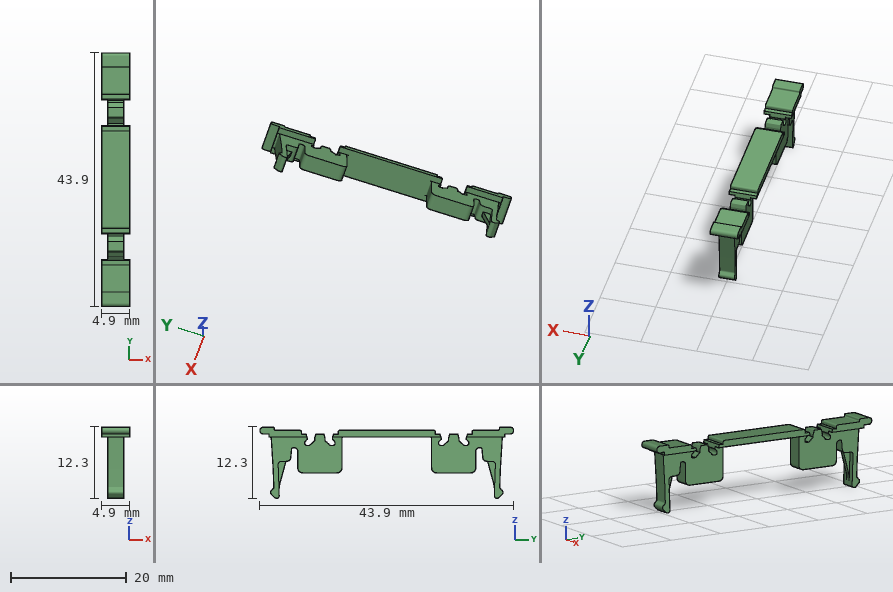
import cadquery as cq
import math


LENGTH = 43.9
HEIGHT = 12.31
PLATE_WIDTH = 4.9
BODY_WIDTH = 2.8
RIB_WIDTH = 0.8

PLATE_THICKNESS = 1.19
PLATE_TOP = 0.53
LEDGE = 1.19
UNDERSIDE = PLATE_TOP + PLATE_THICKNESS
ROOT_RADIUS = 0.25
ROOT_REACH = 0.3
EDGE_RADIUS = 0.3

END_Y = LENGTH / 2
END_RADIUS = LEDGE / 2
STEP_Y = 19.45
STEP_RADIUS = 0.2
OVERHANG_Y = 20.4

BLOCK_Y = 11.57
BLOCK_HALF = 3.84
BLOCK_BOTTOM = 7.93
BLOCK_RADIUS = 0.9

PLATE_GAP_HALF = 3.17
LIP_HALF = 2.37
LIP_TIP_HALF = 2.15
FLARE_DEPTH = 1.9
LIP_TIP_DEPTH = 2.1
NOTCH_FLOOR_HALF = 1.82
NOTCH_DEPTH = 3.17
NOTCH_HALF = 2.6
NOTCH_RADIUS = 0.38
TOOTH_TOP_HALF = 0.7
TOOTH_FOOT_HALF = 0.92
TOOTH_FOOT_DEPTH = 2.36
TOOTH_RADIUS = 0.1

SLOT_TOP = 3.57
SLOT_TOP_Y = 16.42
SLOT_BLOCK_RADIUS = 0.6
SLOT_LEG_RADIUS = 0.3

SHOULDER_Y = 16.63
SHOULDER_DEPTH = 5.82
SHOULDER_RADIUS = 0.7
SHELF_DEPTH = 5.95
SHELF_RADIUS = 0.5

LEG_INNER_TOP_Y = 18.8
LEG_INNER_FOOT_Y = 18.57
LEG_OUTER_TOP_Y = 20.0
LEG_BEND_Y = 19.65
LEG_BEND_DEPTH = 7.4

NECK_Y = 19.55
NECK_DEPTH = 10.53
NECK_RADIUS = 0.35
HOOK_TIP_DEPTH = 11.28
HOOK_TIP_Y = NECK_Y + (HOOK_TIP_DEPTH - NECK_DEPTH)
HOOK_RADIUS = 0.45
FOOT_Y = HOOK_TIP_Y - (HEIGHT - HOOK_TIP_DEPTH)
FOOT_RADIUS = 0.42

RIB_TOP_Y = 17.43
RIB_FOOT_DEPTH = 10.4
RIB_BACK_Y = (LEG_INNER_TOP_Y + NECK_Y) / 2
RIB_BLEND_RADIUS = 5.0
RIB_BLEND_REACH = 0.8

SMALLEST_EDGE = 1e-4


def interpolate(start, end, depth):
    """Y of the line from start to end, both (y, depth), at the given depth."""
    share = (depth - start[1]) / (end[1] - start[1])
    return start[0] + share * (end[0] - start[0])


def corner_arc(before, corner, after, radius):
    """Start, middle and end of the arc that rounds a corner."""
    to_before = (cq.Vector(*before) - cq.Vector(*corner)).normalized()
    to_after = (cq.Vector(*after) - cq.Vector(*corner)).normalized()
    half_angle = to_before.getAngle(to_after) / 2
    setback = radius / math.tan(half_angle)
    to_centre = (to_before + to_after).normalized()
    middle_distance = radius / math.sin(half_angle) - radius
    vertex = cq.Vector(*corner)
    return (
        vertex + to_before * setback,
        vertex + to_centre * middle_distance,
        vertex + to_after * setback,
    )


def extrude_outline(outline, width):
    """Extrude a closed, corner-rounded (y, depth, radius) outline evenly about X = 0."""
    corners = [(point[0], -point[1]) for point in outline]
    radii = [point[2] if len(point) > 2 else 0 for point in outline]
    edges = []
    path_end = None
    path_start = None

    def add_line(start, end):
        if (end - start).Length > SMALLEST_EDGE:
            edges.append(cq.Edge.makeLine(start, end))

    for i, corner in enumerate(corners):
        before = corners[i - 1]
        after = corners[(i + 1) % len(corners)]
        if radii[i]:
            start, middle, end = corner_arc(before, corner, after, radii[i])
        else:
            start = end = cq.Vector(*corner)
        if path_end is None:
            path_start = start
        else:
            add_line(path_end, start)
        if radii[i]:
            edges.append(cq.Edge.makeThreePointArc(start, middle, end))
        path_end = end
    add_line(path_end, path_start)

    wire = cq.Wire.assembleEdges(edges)
    flat = cq.Workplane("XY").add(wire).toPending().extrude(width)
    upright = flat.rotate((0, 0, 0), (1, 1, 1), 120)
    return upright.translate((-width / 2, 0, 0))


LIP_LINE = ((LIP_HALF, LEDGE), (LIP_TIP_HALF, FLARE_DEPTH))
LIP_UNDERSIDE_HALF = interpolate(*LIP_LINE, UNDERSIDE)


def make_centre_plate():
    edge_y = BLOCK_Y - PLATE_GAP_HALF
    lip_y = BLOCK_Y - LIP_HALF
    lip_underside_y = BLOCK_Y - LIP_UNDERSIDE_HALF
    return extrude_outline(
        [
            (-edge_y, PLATE_TOP, EDGE_RADIUS),
            (edge_y, PLATE_TOP, EDGE_RADIUS),
            (edge_y, LEDGE),
            (lip_y, LEDGE),
            (lip_underside_y, UNDERSIDE),
            (-lip_underside_y, UNDERSIDE),
            (-lip_y, LEDGE),
            (-edge_y, LEDGE),
        ],
        PLATE_WIDTH,
    )


def make_end_plate():
    edge_y = BLOCK_Y + PLATE_GAP_HALF
    return extrude_outline(
        [
            (BLOCK_Y + LIP_HALF, LEDGE),
            (edge_y, LEDGE),
            (edge_y, PLATE_TOP, EDGE_RADIUS),
            (STEP_Y, PLATE_TOP, STEP_RADIUS),
            (STEP_Y, 0, STEP_RADIUS),
            (END_Y, 0, END_RADIUS),
            (END_Y, LEDGE, END_RADIUS),
            (OVERHANG_Y, LEDGE),
            (OVERHANG_Y, UNDERSIDE),
            (BLOCK_Y + LIP_UNDERSIDE_HALF, UNDERSIDE),
        ],
        PLATE_WIDTH,
    )


def notch_outline(side):
    """Notch from its lip to the tooth top; side is +1 or -1 along Y from the block middle."""
    pocket_depth = LIP_TIP_DEPTH + (NOTCH_HALF - LIP_TIP_HALF)
    half_outline = [
        (LIP_HALF, LEDGE, 0),
        (LIP_TIP_HALF, FLARE_DEPTH, 0),
        (LIP_TIP_HALF, LIP_TIP_DEPTH, 0),
        (NOTCH_HALF, pocket_depth, NOTCH_RADIUS),
        (NOTCH_HALF, NOTCH_DEPTH, NOTCH_RADIUS),
        (NOTCH_FLOOR_HALF, NOTCH_DEPTH, 0),
        (TOOTH_FOOT_HALF, TOOTH_FOOT_DEPTH, 0),
        (TOOTH_FOOT_HALF, FLARE_DEPTH, 0),
        (TOOTH_TOP_HALF, LEDGE, TOOTH_RADIUS),
    ]
    return [(BLOCK_Y + side * half, depth, radius) for half, depth, radius in half_outline]


def make_body():
    """Narrow block and leg; its upper ends reach into the plates."""
    inner_y = BLOCK_Y - BLOCK_HALF
    outer_y = BLOCK_Y + BLOCK_HALF
    inner_root_y = inner_y - ROOT_REACH
    outer_root_y = LEG_OUTER_TOP_Y + ROOT_REACH
    block_and_leg = [
        (inner_root_y, LEDGE),
        (inner_root_y, UNDERSIDE),
        (inner_y, UNDERSIDE, ROOT_RADIUS),
        (inner_y, BLOCK_BOTTOM, BLOCK_RADIUS),
        (outer_y, BLOCK_BOTTOM, BLOCK_RADIUS),
        (outer_y, SLOT_TOP, SLOT_BLOCK_RADIUS),
        (SLOT_TOP_Y, SLOT_TOP, SLOT_LEG_RADIUS),
        (SHOULDER_Y, SHOULDER_DEPTH, SHOULDER_RADIUS),
        (RIB_TOP_Y, SHELF_DEPTH),
        (LEG_INNER_TOP_Y, SHELF_DEPTH, SHELF_RADIUS),
        (LEG_INNER_FOOT_Y, HEIGHT, FOOT_RADIUS),
        (FOOT_Y, HEIGHT, FOOT_RADIUS),
        (HOOK_TIP_Y, HOOK_TIP_DEPTH, HOOK_RADIUS),
        (NECK_Y, NECK_DEPTH, NECK_RADIUS),
        (LEG_BEND_Y, LEG_BEND_DEPTH),
        (LEG_OUTER_TOP_Y, UNDERSIDE, ROOT_RADIUS),
        (outer_root_y, UNDERSIDE),
        (outer_root_y, LEDGE),
    ]
    notches = notch_outline(1) + notch_outline(-1)[::-1]
    return extrude_outline(block_and_leg + notches, BODY_WIDTH)


def make_rib():
    """Wedge from the shelf down to the inner face of the leg, with its back inside the leg."""
    leg_inner = ((LEG_INNER_TOP_Y, SHELF_DEPTH), (LEG_INNER_FOOT_Y, HEIGHT))
    foot_y = interpolate(*leg_inner, RIB_FOOT_DEPTH)
    blend_end_depth = RIB_FOOT_DEPTH + RIB_BLEND_REACH
    return extrude_outline(
        [
            (RIB_TOP_Y, SHELF_DEPTH),
            (foot_y, RIB_FOOT_DEPTH, RIB_BLEND_RADIUS),
            (interpolate(*leg_inner, blend_end_depth), blend_end_depth),
            (RIB_BACK_Y, blend_end_depth),
            (RIB_BACK_Y, SHELF_DEPTH - SHELF_RADIUS),
            (RIB_TOP_Y, SHELF_DEPTH - SHELF_RADIUS),
        ],
        RIB_WIDTH,
    )


half_clip = make_end_plate().union(make_body()).union(make_rib())
other_half_clip = half_clip.mirror("XZ")
result = make_centre_plate().union(half_clip).union(other_half_clip)